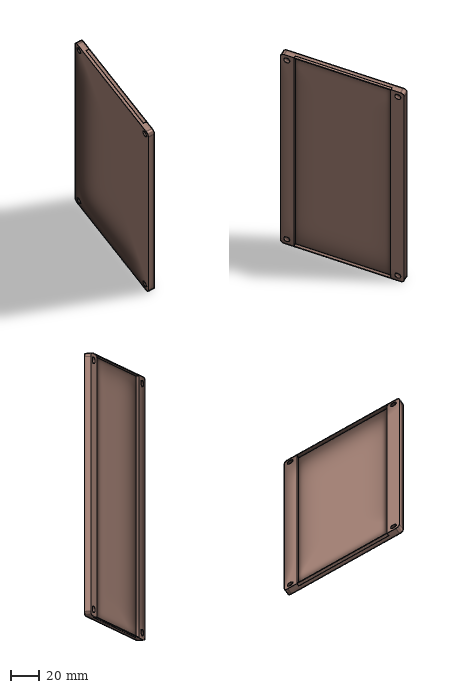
import cadquery as cq

width = 96.0
height = 189.0
thickness = 5.0
corner_radius = 3.0

hole_diameter = 4.5
hole_inset = 5.0

pocket_width = 75.0
pocket_depth = 2.5
end_wall = 0.5
pocket_height = height - 2 * end_wall


def make_plate():
    """Rounded rectangular plate centred on the origin."""
    return cq.Workplane("XY").box(width, thickness, height).edges("|Y").fillet(corner_radius)


def make_corner_holes():
    """Four cylinders through the full thickness, one near each corner."""
    return (
        cq.Workplane("XZ", origin=(0, thickness / 2, 0))
        .rect(width - 2 * hole_inset, height - 2 * hole_inset, forConstruction=True)
        .vertices()
        .circle(hole_diameter / 2)
        .extrude(thickness)
    )


def make_back_pocket():
    """Rectangular cutter sunk from the back face toward the front."""
    return (
        cq.Workplane("XZ", origin=(0, thickness / 2, 0))
        .rect(pocket_width, pocket_height)
        .extrude(pocket_depth)
    )


result = make_plate().cut(make_corner_holes()).cut(make_back_pocket())